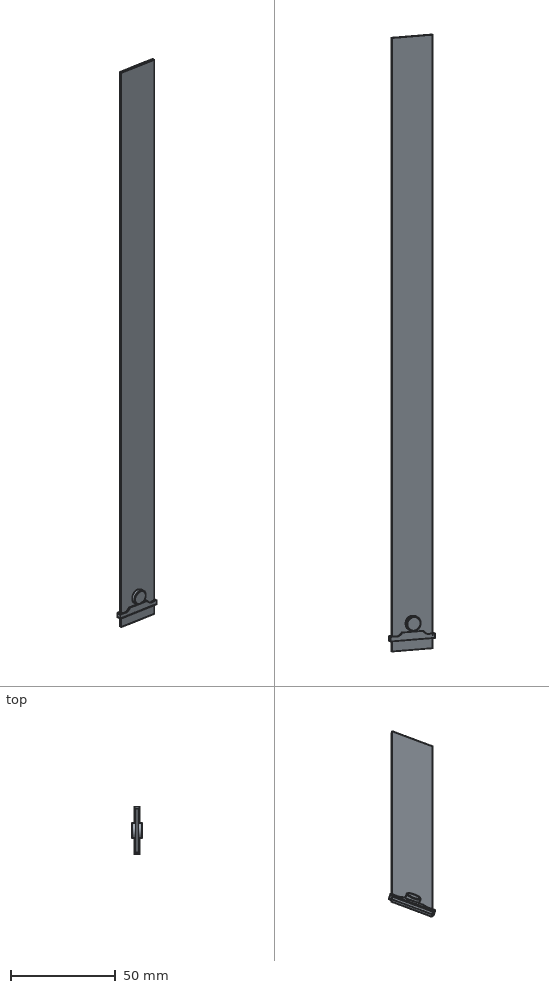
import cadquery as cq

blade_length = 300.0
blade_width = 20.7
blade_thickness = 1.2
blade_bottom = -blade_length / 2

stud_diameter = 7.2
stud_length = 5.0
stud_height = 13.2
stud_chamfer = 0.3

bar_width = 22.8
bar_thickness = 2.5
bar_bottom = 5.0
bar_end_height = 2.5
bar_middle_height = 4.0
bar_dip_height = 2.0
raised_width = 10.8
dip_spacing = 15.5
end_flat_width = 21.0
sweep_sag = 0.3


def box_on_blade(thickness, width, bottom, height):
    """Box centred in X and Y, placed above the blade's bottom end."""
    return (
        cq.Workplane("XY", origin=(0, 0, blade_bottom + bottom))
        .rect(thickness, width)
        .extrude(height)
    )


def make_stud():
    return (
        cq.Workplane("YZ", origin=(-stud_length / 2, 0, blade_bottom + stud_height))
        .circle(stud_diameter / 2)
        .extrude(stud_length)
        .faces("<X or >X")
        .chamfer(stud_chamfer)
    )


def make_blade():
    return box_on_blade(blade_thickness, blade_width, 0, blade_length)


def make_crossbar(blade):
    end_top = bar_bottom + bar_end_height
    middle_top = bar_bottom + bar_middle_height
    dip = bar_bottom + bar_dip_height
    end_edge = bar_width / 2
    end_flat = end_flat_width / 2
    dip_place = dip_spacing / 2
    raised_edge = raised_width / 2
    sweep_place = (dip_place + raised_edge) / 2
    sweep_height = (dip + middle_top) / 2 - sweep_sag
    bar = (
        cq.Workplane("YZ", origin=(-bar_thickness / 2, 0, blade_bottom))
        .moveTo(-end_edge, bar_bottom)
        .lineTo(end_edge, bar_bottom)
        .lineTo(end_edge, dip)
        .lineTo(end_flat, end_top)
        .lineTo(dip_place, dip)
        .threePointArc((sweep_place, sweep_height), (raised_edge, middle_top))
        .lineTo(-raised_edge, middle_top)
        .threePointArc((-sweep_place, sweep_height), (-dip_place, dip))
        .lineTo(-end_flat, end_top)
        .lineTo(-end_edge, dip)
        .close()
        .extrude(bar_thickness)
    )
    return bar.cut(blade)


stud = make_stud()
solid_blade = make_blade()
blade = solid_blade.cut(stud)
crossbar = make_crossbar(solid_blade)

result = cq.Compound.makeCompound([blade.val(), stud.val(), crossbar.val()])